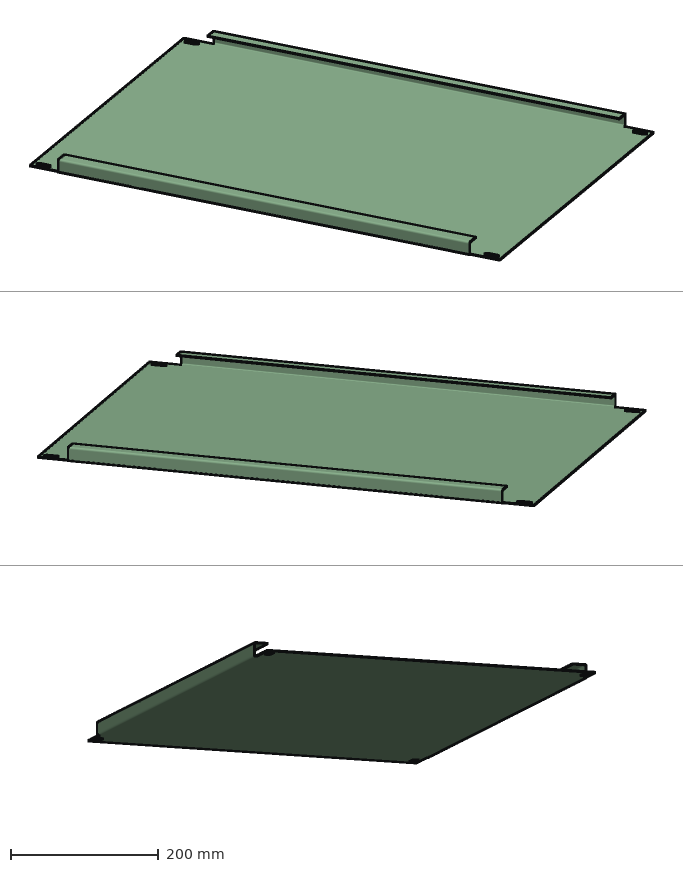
import cadquery as cq

panel_length = 710.0
panel_width = 480.0
panel_height = 20.0

sheet = 1.5
inner_bend = 1.5
outer_bend = inner_bend + sheet

plate_width = 473.0

rim_length = 622.0
lip_depth = 20.0

slot_length = 20.5
slot_width = 8.0
slot_spacing_x = 677.0
slot_spacing_y = 455.0


def rounded_block(bend, offset):
    """Rim-length block with rounded long edges, shrunk inwards from the outer skin by an offset."""
    half_width = panel_width / 2 - offset
    return (
        cq.Workplane("YZ")
        .rect(2 * half_width, panel_height - 2 * offset)
        .extrude(rim_length / 2, both=True)
        .edges("|X")
        .fillet(bend)
        .translate((0, 0, panel_height / 2))
    )


def folded_channel():
    """Thin rounded tube, opened between the lips to leave a C-shaped channel."""
    tube = rounded_block(outer_bend, 0).cut(rounded_block(inner_bend, sheet))
    opening = (
        cq.Workplane("XY")
        .workplane(offset=panel_height / 2)
        .rect(rim_length, panel_width - 2 * lip_depth)
        .extrude(panel_height)
    )
    return tube.cut(opening)


def flat_ends():
    """Unfolded plate ends that project beyond the rims at both ends."""
    end_length = (panel_length - rim_length) / 2
    end_offset = (panel_length - end_length) / 2
    return (
        cq.Workplane("XY")
        .pushPoints([(-end_offset, 0), (end_offset, 0)])
        .rect(end_length, plate_width)
        .extrude(sheet)
    )


def corner_slots():
    """Round-ended slots through the plate at its four corners."""
    return (
        cq.Workplane("XY")
        .rarray(slot_spacing_x, slot_spacing_y, 2, 2)
        .slot2D(slot_length, slot_width)
        .extrude(sheet)
    )


result = folded_channel().union(flat_ends()).cut(corner_slots())